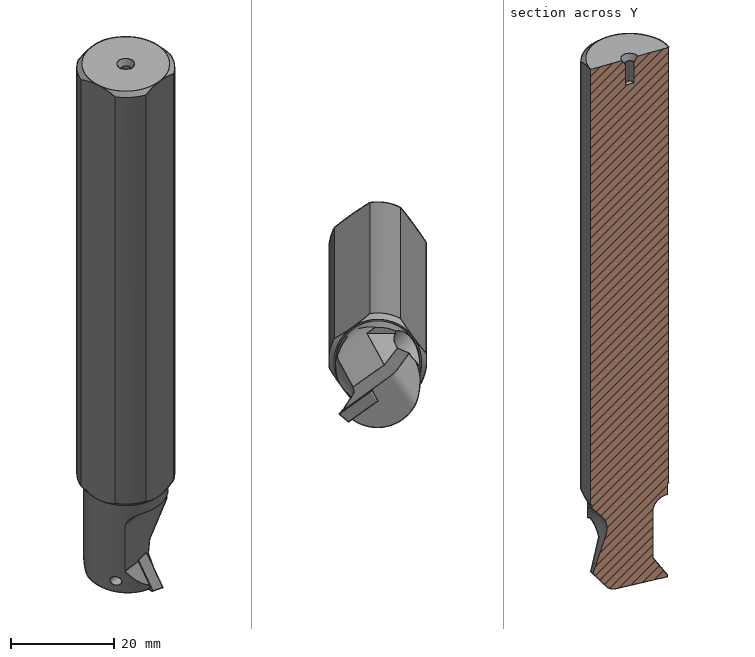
import cadquery as cq
import math

TOTAL_LENGTH = 125.0
SHANK_BOTTOM = 22.5
SHANK_RADIUS = 9.5
FLAT_SPACING = 17.0
BOTTOM_CHAMFER_HEIGHT = 1.2
TOP_CHAMFER_HEIGHT = 0.8
CENTER_DRILL_RADIUS = 0.9
CENTER_DRILL_DEPTH = 6.0
COUNTERSINK_RADIUS = 1.7
COUNTERSINK_DEPTH = 1.2

NECK_RADIUS = 8.2
HEEL_START = 6.5
HEEL_ANGLE = 53.0
HEEL_BLEND_RADIUS = 2.5

INSERT_CIRCLE = 6.35
INSERT_THICKNESS = 2.38
INSERT_POINT_ANGLE = 55.0
INSERT_RELIEF = 7.0
NOSE_RADIUS = 0.2
INSERT_TIP_X = 9.25
END_ANGLE = 3.0
HEAD_SETBACK = 0.5
SCREW_HOLE_RADIUS = 0.75
SCREW_COUNTERBORE_RADIUS = 1.05
SCREW_COUNTERBORE_FLOOR = 5.0

RELIEF_X = 5.06
RELIEF_TOP = 19.9
RELIEF_CORNER_RADIUS = 3.0

FACE_BREAK_Z = 9.3
GENTLE_SLOPE = 0.125
STEEP_ANGLE = 37.6
RUNOUT_RADIUS = 6.5

BEVEL_TOP = 16.75
BEVEL_EDGE_X = -2.4
BEVEL_SKEW = 0.74

SCOOP_RADIUS = 4.8
SCOOP_X = -9.75
SCOOP_Z = 16.0
SCOOP_UP_ANGLE = 40.0
SCOOP_DOWN_ANGLE = 19.0
SCOOP_LENGTH = 20.0

REACH = 15.0
END_CLEARANCE = 1.0


def sharp_tip():
    """Corner (x, z) of the insert before its nose is rounded."""
    half = math.radians(INSERT_POINT_ANGLE / 2)
    to_nose = NOSE_RADIUS / math.sin(half)
    axis = math.radians(END_ANGLE) + half
    x = INSERT_TIP_X - NOSE_RADIUS + to_nose * math.cos(axis)
    z = NOSE_RADIUS - to_nose * math.sin(axis)
    return x, z


TIP_X, TIP_Z = sharp_tip()
END_DIRECTION = math.radians(180 - END_ANGLE)
SIDE_DIRECTION = math.radians(180 - END_ANGLE - INSERT_POINT_ANGLE)
INSERT_SIDE = INSERT_CIRCLE / math.sin(math.radians(INSERT_POINT_ANGLE))


def from_tip(along_end, along_side):
    """Point (x, z) reached from the sharp tip along the insert's two cutting edges."""
    x = TIP_X + along_end * math.cos(END_DIRECTION) + along_side * math.cos(SIDE_DIRECTION)
    z = TIP_Z + along_end * math.sin(END_DIRECTION) + along_side * math.sin(SIDE_DIRECTION)
    return x, z


def make_insert():
    corners = [
        from_tip(0, 0),
        from_tip(INSERT_SIDE, 0),
        from_tip(INSERT_SIDE, INSERT_SIDE),
        from_tip(0, INSERT_SIDE),
    ]
    outline = cq.Workplane("XZ").polyline(corners).close()
    plate = outline.extrude(INSERT_THICKNESS, taper=INSERT_RELIEF)
    return plate.edges("not #Y").fillet(NOSE_RADIUS)


def make_shank():
    length = TOTAL_LENGTH - SHANK_BOTTOM
    flat_radius = FLAT_SPACING / 2
    profile = [
        (0, SHANK_BOTTOM),
        (flat_radius, SHANK_BOTTOM),
        (SHANK_RADIUS, SHANK_BOTTOM + BOTTOM_CHAMFER_HEIGHT),
        (SHANK_RADIUS, TOTAL_LENGTH - TOP_CHAMFER_HEIGHT),
        (flat_radius, TOTAL_LENGTH),
        (0, TOTAL_LENGTH),
    ]
    turned = cq.Workplane("XZ").polyline(profile).close().revolve(360, (0, 0), (0, 1))
    square = (
        cq.Workplane("XY", origin=(0, 0, SHANK_BOTTOM))
        .rect(FLAT_SPACING, FLAT_SPACING)
        .extrude(length)
    )
    hole = [
        (0, TOTAL_LENGTH),
        (COUNTERSINK_RADIUS, TOTAL_LENGTH),
        (CENTER_DRILL_RADIUS, TOTAL_LENGTH - COUNTERSINK_DEPTH),
        (CENTER_DRILL_RADIUS, TOTAL_LENGTH - CENTER_DRILL_DEPTH),
        (0, TOTAL_LENGTH - CENTER_DRILL_DEPTH),
    ]
    center_hole = cq.Workplane("XZ").polyline(hole).close().revolve(360, (0, 0), (0, 1))
    return turned.intersect(square).cut(center_hole)


def make_neck():
    """Round neck trimmed to the head's outline: heel bevel, end, flank and relief."""
    point = math.radians(INSERT_POINT_ANGLE)
    inset = HEAD_SETBACK / math.sin(point)
    nose = from_tip(inset, inset)
    flank_height = (RELIEF_X - nose[0]) * math.tan(SIDE_DIRECTION)
    bevel = math.tan(math.radians(HEEL_ANGLE))
    end = math.tan(math.radians(END_ANGLE))
    heel_x = (HEEL_START - NECK_RADIUS * bevel - nose[1] - nose[0] * end) / (bevel - end)
    heel_z = nose[1] + (nose[0] - heel_x) * end
    top = SHANK_BOTTOM
    outline = (
        cq.Workplane("XZ", origin=(0, REACH, 0))
        .moveTo(-NECK_RADIUS, top)
        .lineTo(-NECK_RADIUS, HEEL_START)
        .lineTo(heel_x, heel_z)
        .lineTo(*nose)
        .lineTo(RELIEF_X, nose[1] + flank_height)
        .lineTo(RELIEF_X, RELIEF_TOP - RELIEF_CORNER_RADIUS)
        .radiusArc((RELIEF_X + RELIEF_CORNER_RADIUS, RELIEF_TOP), RELIEF_CORNER_RADIUS)
        .lineTo(NECK_RADIUS, RELIEF_TOP)
        .lineTo(NECK_RADIUS, top)
        .close()
        .extrude(2 * REACH)
    )
    heel_corner = cq.selectors.NearestToPointSelector((heel_x, 0, heel_z))
    outline = outline.edges("|Y").edges(heel_corner).fillet(HEEL_BLEND_RADIUS)
    return cq.Workplane("XY").circle(NECK_RADIUS).extrude(top).intersect(outline)


def gentle_face_y(z):
    return GENTLE_SLOPE * z


def steep_face_y(z):
    return gentle_face_y(FACE_BREAK_Z) + (z - FACE_BREAK_Z) * math.tan(math.radians(STEEP_ANGLE))


def make_chip_cut():
    """Removes the +Y side above the cutting edge and runs out tangent to the neck."""
    turn = math.radians(STEEP_ANGLE)
    arc_y = NECK_RADIUS - RUNOUT_RADIUS * (1 - math.cos(turn))
    arc_z = FACE_BREAK_Z + (arc_y - gentle_face_y(FACE_BREAK_Z)) / math.tan(turn)
    top_z = arc_z + RUNOUT_RADIUS * math.sin(turn)
    return (
        cq.Workplane("YZ", origin=(-REACH, 0, 0))
        .moveTo(gentle_face_y(-END_CLEARANCE), -END_CLEARANCE)
        .lineTo(gentle_face_y(FACE_BREAK_Z), FACE_BREAK_Z)
        .lineTo(arc_y, arc_z)
        .radiusArc((NECK_RADIUS, top_z), -RUNOUT_RADIUS)
        .lineTo(REACH, top_z)
        .lineTo(REACH, -END_CLEARANCE)
        .close()
        .extrude(2 * REACH)
    )


def make_bevel_cut():
    """Skewed plane that falls away from the chip face towards -X, below BEVEL_TOP."""
    shift = BEVEL_SKEW * (BEVEL_EDGE_X + REACH)

    def section(x, drop):
        return [
            cq.Vector(x, steep_face_y(0) - drop, 0),
            cq.Vector(x, steep_face_y(BEVEL_TOP) - drop, BEVEL_TOP),
            cq.Vector(x, REACH, BEVEL_TOP),
            cq.Vector(x, REACH, 0),
        ]

    near = cq.Wire.makePolygon(section(-REACH, shift), close=True)
    far = cq.Wire.makePolygon(section(BEVEL_EDGE_X, 0), close=True)
    wedge = cq.Workplane(obj=cq.Solid.makeLoft([near, far], True))
    above_gentle_face = (
        cq.Workplane("YZ", origin=(-REACH, 0, 0))
        .moveTo(gentle_face_y(0), 0)
        .lineTo(gentle_face_y(BEVEL_TOP), BEVEL_TOP)
        .lineTo(REACH, BEVEL_TOP)
        .lineTo(REACH, 0)
        .close()
        .extrude(2 * REACH)
    )
    return wedge.intersect(above_gentle_face)


def make_scoop():
    center = cq.Vector(SCOOP_X, 0, SCOOP_Z)
    scoop = cq.Workplane("XY").sphere(SCOOP_RADIUS).translate(center)
    for angle, vertical in ((SCOOP_UP_ANGLE, 1), (SCOOP_DOWN_ANGLE, -1)):
        lean = math.radians(angle)
        axis = cq.Vector(-math.sin(lean), 0, vertical * math.cos(lean))
        groove = cq.Solid.makeCylinder(SCOOP_RADIUS, SCOOP_LENGTH, center, axis)
        scoop = scoop.union(cq.Workplane(obj=groove))
    return scoop


def make_screw_hole():
    center = from_tip(INSERT_SIDE / 2, INSERT_SIDE / 2)
    hole = cq.Workplane("XZ").center(*center).circle(SCREW_HOLE_RADIUS).extrude(REACH)
    counterbore = (
        cq.Workplane("XZ", origin=(0, -SCREW_COUNTERBORE_FLOOR, 0))
        .center(*center)
        .circle(SCREW_COUNTERBORE_RADIUS)
        .extrude(REACH)
    )
    return hole.union(counterbore)


insert = make_insert()
neck = make_neck().cut(make_chip_cut()).cut(make_bevel_cut()).cut(make_scoop())
neck = neck.cut(insert).cut(make_screw_hole())
bar = make_shank().union(neck).solids()

result = cq.Compound.makeCompound([*bar.vals(), *insert.solids().vals()])